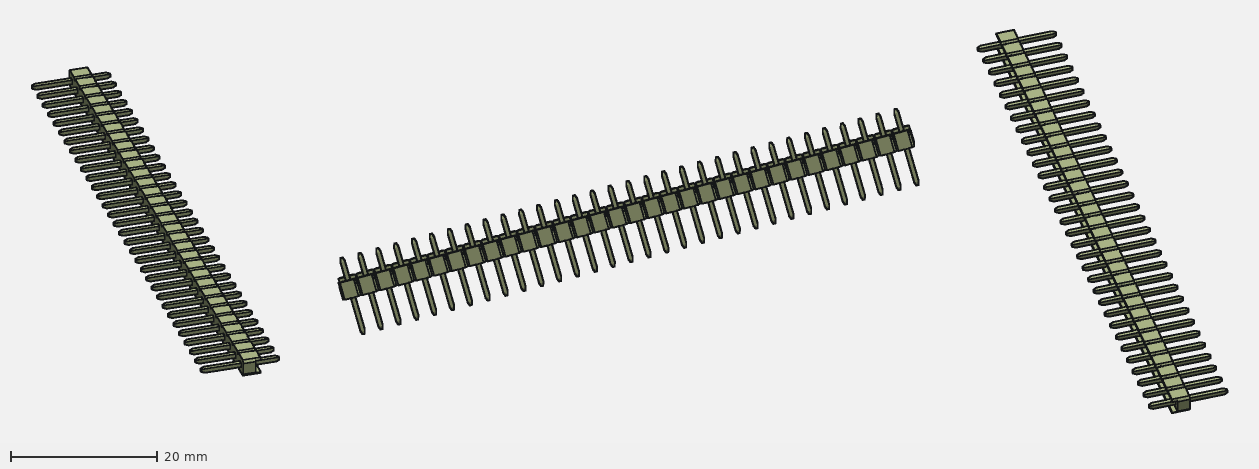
import cadquery as cq

length = 81.3
pin_count = 32
pitch = length / pin_count

body_depth = 2.5
body_height = 2.5
flat_width = 1.95
web_height = 1.7

channel_height = 1.9
channel_depth = 0.7

pin_size = 0.64
pin_shift = -0.1
front_reach = 5.7
back_reach = 3.0
taper_length = 0.5
tip_size = pin_size / 2


def cell_centres():
    """X centre of every cell along the row."""
    first = -length / 2 + pitch / 2
    return [first + index * pitch for index in range(pin_count)]


def make_cell(x):
    """One body cell: an octagon whose slopes meet the next cell in a V at the web height."""
    half_flat = flat_width / 2
    half_side = pitch / 2
    half_web = web_height / 2
    half_height = body_height / 2
    outline = [
        (x - half_flat, -half_height),
        (x + half_flat, -half_height),
        (x + half_side, -half_web),
        (x + half_side, half_web),
        (x + half_flat, half_height),
        (x - half_flat, half_height),
        (x - half_side, half_web),
        (x - half_side, -half_web),
    ]
    return cq.Workplane("XZ").polyline(outline).close().extrude(-body_depth).val()


def make_body():
    """Row of joined cells with a channel along the back face."""
    first_cell, *other_cells = [make_cell(x) for x in cell_centres()]
    row = first_cell.fuse(*other_cells).clean()
    channel = (
        cq.Workplane("XY")
        .box(length, channel_depth, channel_height, centered=(True, False, True))
        .translate((0, body_depth - channel_depth, 0))
    )
    return row.cut(channel.val())


def make_taper(x, y_base, direction):
    """Tapered pin end starting at y_base and pointing along direction (+1 or -1) in Y."""
    return (
        cq.Workplane("XZ", origin=(x, y_base, 0))
        .rect(pin_size, pin_size)
        .workplane(offset=-direction * taper_length)
        .rect(tip_size, tip_size)
        .loft(ruled=True)
    )


def make_pin(x):
    """Square pin through the body, tapered at both ends."""
    shank_front = -front_reach + taper_length
    shank_back = body_depth + back_reach - taper_length
    shank = (
        cq.Workplane("XZ", origin=(x, shank_front, 0))
        .rect(pin_size, pin_size)
        .extrude(shank_front - shank_back)
    )
    front_end = make_taper(x, shank_front, -1)
    back_end = make_taper(x, shank_back, 1)
    return shank.union(front_end).union(back_end).val()


pins = [make_pin(x + pin_shift) for x in cell_centres()]
result = cq.Workplane("XY").newObject([make_body().fuse(*pins)])